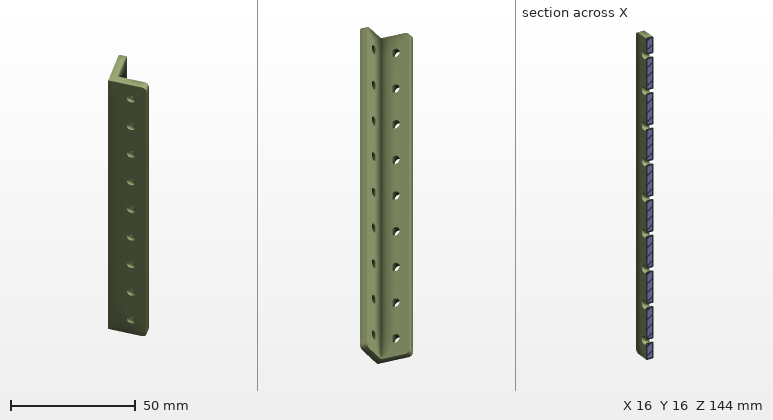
import cadquery as cq

pitch = 16.0
hole_count = 9
thickness = 3.2
hole_diameter = 3.7
corner_radius = 2.0

leg_width = pitch
length = hole_count * pitch
hole_offset = (thickness + leg_width) / 2


def angle_profile():
    """Extruded L section with its outer edge on the Z axis."""
    outline = [
        (0, 0),
        (leg_width, 0),
        (leg_width, thickness),
        (thickness, thickness),
        (thickness, leg_width),
        (0, leg_width),
    ]
    return cq.Workplane("XY").polyline(outline).close().extrude(length)


def round_free_corners(body):
    """Round the top and bottom corners at the free edge of both legs."""
    body = body.faces(">X").edges("|Y").fillet(corner_radius)
    return body.faces(">Y").edges("|X").fillet(corner_radius)


def hole_row(plane, direction):
    """Row of pins, one per pitch, as long as the leg on the plane is thick.

    The direction is the sign along the plane normal that points into the leg.
    """
    centres = [(hole_offset, (index + 0.5) * pitch) for index in range(hole_count)]
    pins = cq.Workplane(plane).pushPoints(centres).circle(hole_diameter / 2)
    return pins.extrude(direction * thickness)


bracket = round_free_corners(angle_profile())
bracket = bracket.cut(hole_row("XZ", -1))
result = bracket.cut(hole_row("YZ", 1))